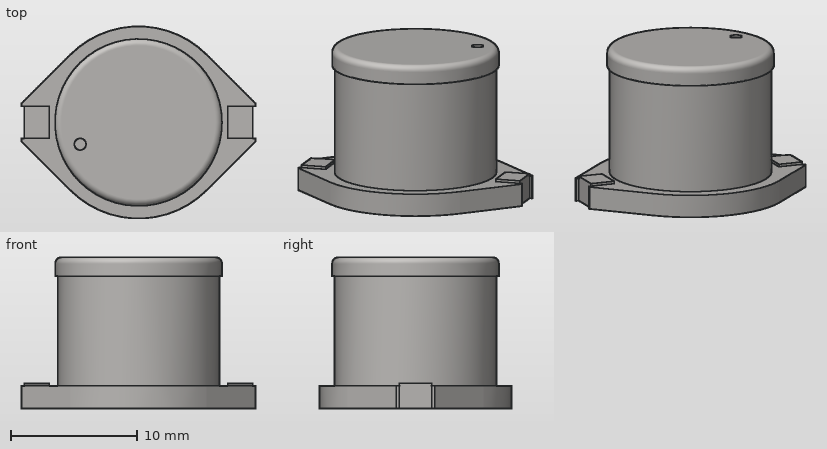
import cadquery as cq
import math

length = 18.54
base_radius = 7.62
base_height = 1.8
flank_angle = math.radians(45)

terminal_width = 2.54
terminal_length = 2.0
terminal_rise = 0.2
terminal_setback = 0.2

total_height = 12.0
body_diameter = 12.85
cap_diameter = 13.24
cap_height = 1.5
cap_fillet = 0.5

dot_diameter = 0.93
dot_depth = 0.2
dot_x = -4.62
dot_y = -1.72


def make_base():
    tip_x = length / 2
    tangent_x = base_radius * math.cos(flank_angle)
    tangent_y = base_radius * math.sin(flank_angle)
    tip_y = tangent_y - (tip_x - tangent_x) * math.tan(flank_angle)
    return (
        cq.Workplane("XY")
        .moveTo(-tip_x, -tip_y)
        .lineTo(-tangent_x, -tangent_y)
        .threePointArc((0, -base_radius), (tangent_x, -tangent_y))
        .lineTo(tip_x, -tip_y)
        .lineTo(tip_x, tip_y)
        .lineTo(tangent_x, tangent_y)
        .threePointArc((0, base_radius), (-tangent_x, tangent_y))
        .lineTo(-tip_x, tip_y)
        .close()
        .extrude(base_height)
    )


def make_notch(side):
    center_x = side * (length - terminal_setback) / 2
    return (
        cq.Workplane("XY")
        .center(center_x, 0)
        .rect(terminal_setback, terminal_width)
        .extrude(base_height)
    )


def make_terminal(side):
    outer_x = length / 2 - terminal_setback
    return (
        cq.Workplane("XY")
        .center(side * (outer_x - terminal_length / 2), 0)
        .rect(terminal_length, terminal_width)
        .extrude(base_height + terminal_rise)
    )


def make_body():
    return (
        cq.Workplane("XY")
        .workplane(offset=base_height)
        .circle(body_diameter / 2)
        .extrude(total_height - cap_height - base_height)
    )


def make_cap():
    return (
        cq.Workplane("XY")
        .workplane(offset=total_height - cap_height)
        .circle(cap_diameter / 2)
        .extrude(cap_height)
        .faces(">Z")
        .edges()
        .fillet(cap_fillet)
    )


def make_dot():
    return (
        cq.Workplane("XY")
        .workplane(offset=total_height - dot_depth)
        .center(dot_x, dot_y)
        .circle(dot_diameter / 2)
        .extrude(dot_depth)
    )


result = make_base()
for side in (-1, 1):
    result = result.cut(make_notch(side)).union(make_terminal(side))
result = result.union(make_body()).union(make_cap()).cut(make_dot())